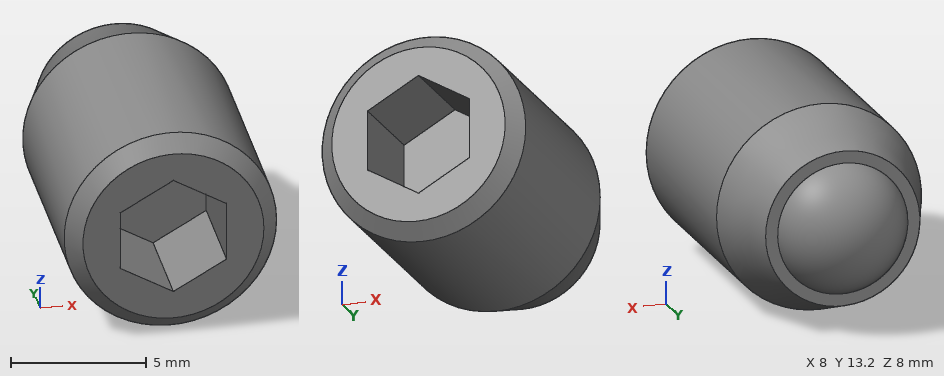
import cadquery as cq
import math

overall_length = 13.2
body_diameter = 8.0
body_radius = body_diameter / 2

body_length = 11.5
cone_start = 8.75
nose_radius = 3.01
drive_chamfer = 0.6

hex_sides = 6
hex_across_flats = 4.0
hex_across_corners = hex_across_flats / math.cos(math.pi / hex_sides)
hex_depth = 4.0

ball_radius = 2.75
ball_center_y = overall_length - ball_radius


def make_ball():
    """Full sphere whose crown forms the tip of the part."""
    return cq.Workplane("XY").sphere(ball_radius).translate((0, ball_center_y, 0))


def make_hex_socket():
    """Hexagonal prism cut in from the drive end, with corners pointing along Z."""
    return (
        cq.Workplane("XZ")
        .transformed(rotate=(0, 0, 90))
        .polygon(hex_sides, hex_across_corners)
        .extrude(-hex_depth)
    )


def make_screw_body():
    """Turned body with a chamfered drive end, a tapered nose and a spherical ball seat."""
    profile = [
        (0, 0),
        (body_radius - drive_chamfer, 0),
        (body_radius, drive_chamfer),
        (body_radius, cone_start),
        (nose_radius, body_length),
        (0, body_length),
    ]
    turned = cq.Workplane("XY").polyline(profile).close().revolve(360, (0, 0, 0), (0, 1, 0))
    return turned.cut(make_hex_socket()).cut(make_ball())


screw_body = make_screw_body()
ball = make_ball()

result = cq.Compound.makeCompound([screw_body.solids().val(), ball.val()])